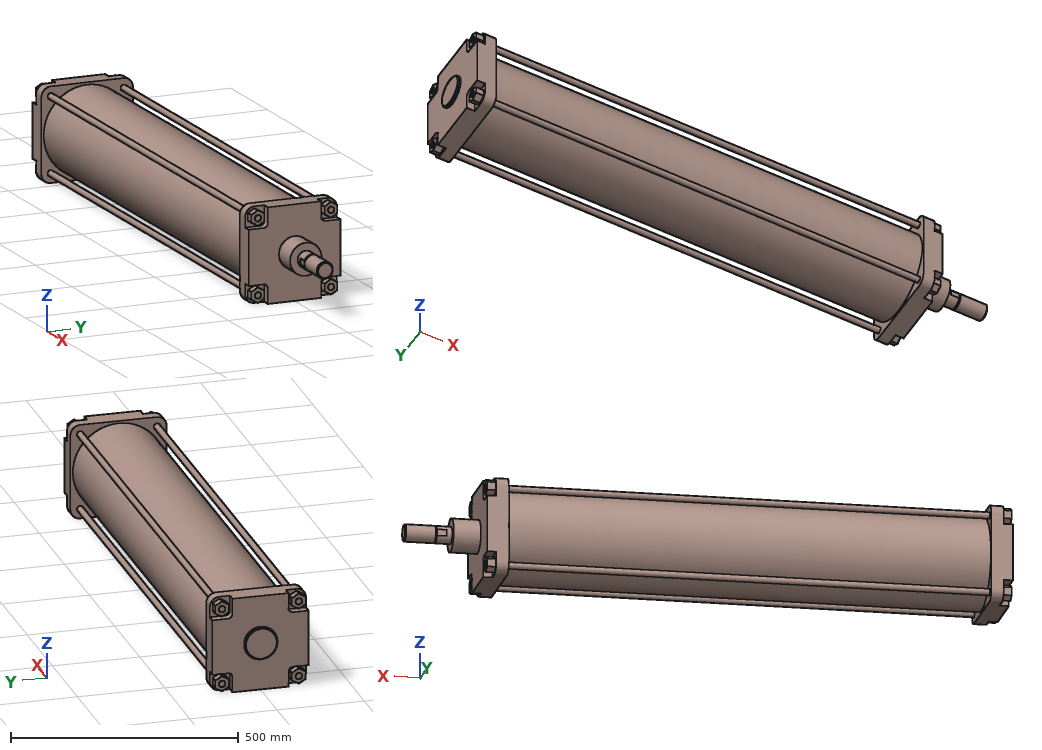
import cadquery as cq
import math


overall_length = 1353.0
boss_height = 7.0
cap_thickness = 49.0
barrel_length = 1082.0
collar_length = 61.0

rear_cap_face = boss_height
barrel_start = rear_cap_face + cap_thickness
barrel_end = barrel_start + barrel_length
front_cap_face = barrel_end + cap_thickness
collar_end = front_cap_face + collar_length

cap_size = 220.0
tie_rod_offset = 88.0
cap_corner_radius = cap_size / 2 - tie_rod_offset
collar_diameter = 76.0
boss_chamfer = 3.0
pocket_size = 46.0
pocket_depth = 20.0
pocket_radius = 11.0

barrel_diameter = 210.0

tie_rod_diameter = 15.0
nut_width = 31.0
nut_height = 19.0
nut_corner_diameter = nut_width / math.cos(math.radians(30))
tie_rod_start = rear_cap_face
tie_rod_end = front_cap_face

rod_diameter = 39.0
flat_setback = 12.0
flat_width = 37.0
flat_start = collar_end + flat_setback
thread_start = 1281.0
rod_chamfer = 3.0

tie_rod_centers = [(y, z) for y in (-tie_rod_offset, tie_rod_offset) for z in (-tie_rod_offset, tie_rod_offset)]


def plane_at(x):
    """Workplane across the axis, with local coordinates (Y, Z) and normal +X."""
    return cq.Workplane("YZ", origin=(x, 0, 0))


def cylinder(start, end, diameter):
    """Round bar along the axis, with its seam line on the +Z side."""
    plane = cq.Plane(origin=(start, 0, 0), xDir=(0, 0, 1), normal=(1, 0, 0))
    return cq.Workplane(plane).circle(diameter / 2).extrude(end - start)


def nut_pockets(start):
    """Four corner pockets cut into a cap, each open to both sides of its corner."""
    pocket_span = 2 * pocket_size
    corner = cap_size / 2
    corners = [(y, z) for y in (-corner, corner) for z in (-corner, corner)]
    return (
        plane_at(start)
        .pushPoints(corners)
        .rect(pocket_span, pocket_span)
        .extrude(pocket_depth)
        .edges("|X")
        .fillet(pocket_radius)
    )


def cap_block(start, pocket_start):
    """Square plate with rounded corners, nut pockets and tie rod holes."""
    block = plane_at(start).rect(cap_size, cap_size).extrude(cap_thickness)
    block = block.edges("|X").fillet(cap_corner_radius).cut(nut_pockets(pocket_start))
    holes = plane_at(start).pushPoints(tie_rod_centers).circle(tie_rod_diameter / 2).extrude(cap_thickness)
    return block.cut(holes)


def make_rear_cap():
    boss = cylinder(0, rear_cap_face, collar_diameter).faces("<X").chamfer(boss_chamfer)
    return cap_block(rear_cap_face, rear_cap_face).union(boss)


def make_front_cap():
    collar = cylinder(front_cap_face, collar_end, collar_diameter)
    rod_hole = cylinder(barrel_end, collar_end, rod_diameter)
    return cap_block(barrel_end, front_cap_face - pocket_depth).union(collar).cut(rod_hole)


def make_barrel():
    return cylinder(barrel_start, barrel_end, barrel_diameter)


def make_tie_rod(y, z):
    """Rod along X with a nut resting on the pocket floor of each cap."""
    rod = cylinder(tie_rod_start, tie_rod_end, tie_rod_diameter)
    rear_nut_start = rear_cap_face + pocket_depth - nut_height
    front_nut_start = front_cap_face - pocket_depth
    for nut_start in (rear_nut_start, front_nut_start):
        nut = plane_at(nut_start).polygon(6, nut_corner_diameter).extrude(nut_height)
        rod = rod.union(nut.rotate((0, 0, 0), (1, 0, 0), 30))
    return rod.translate((0, y, z))


def make_piston_rod():
    """Round rod with two wrench flats behind a thread chamfered at both ends."""
    shank = cylinder(barrel_end, thread_start, rod_diameter)
    flat_length = thread_start - flat_start
    flat_depth = (rod_diameter - flat_width) / 2
    flat_center = (rod_diameter - flat_depth) / 2
    flat_cuts = (
        plane_at(flat_start)
        .pushPoints([(-flat_center, 0), (flat_center, 0)])
        .rect(flat_depth, rod_diameter)
        .extrude(flat_length)
    )
    thread = cylinder(thread_start, overall_length, rod_diameter).faces("<X or >X").chamfer(rod_chamfer)
    return shank.cut(flat_cuts).union(thread)


rear_cap = make_rear_cap()
front_cap = make_front_cap()
barrel = make_barrel()
piston_rod = make_piston_rod()
tie_rods = [make_tie_rod(y, z) for y, z in tie_rod_centers]

result = cq.Compound.makeCompound(
    [
        rear_cap.val(),
        front_cap.val(),
        barrel.val(),
        piston_rod.val(),
        *[tie_rod.val() for tie_rod in tie_rods],
    ]
)